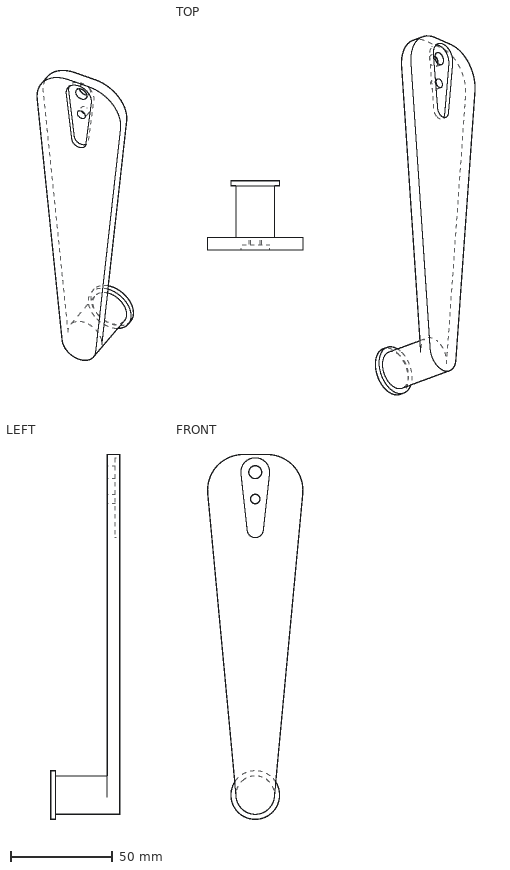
import cadquery as cq
import math


arm_thickness = 6.35
arm_width = 47.2
arm_corner_radius = 17.78

stem_diameter = 19.05
stem_length = 25.4
flange_diameter = 24.13
flange_thickness = 2.54

overall_height = 180.34
arm_top_z = overall_height - flange_diameter / 2
arm_tip_radius = stem_diameter / 2

pocket_depth = 2.54
pocket_top_radius = 7.112
pocket_bottom_radius = 4.0
pocket_length = 39.45
pocket_top_margin = 1.7
large_hole_diameter = 6.25
small_hole_diameter = 4.55
hole_spacing = 13.25

pocket_top_z = arm_top_z - pocket_top_margin
large_hole_z = pocket_top_z - pocket_top_radius
small_hole_z = large_hole_z - hole_spacing
pocket_bottom_center_z = pocket_top_z - pocket_length + pocket_bottom_radius


def front_plane(y):
    """Workplane at depth y whose local axes are X and Z and whose normal is -Y."""
    return cq.Workplane(cq.Plane(origin=(0, y, 0), xDir=(1, 0, 0), normal=(0, -1, 0)))


def cylinder(diameter, z, y_start, length):
    """Cylinder along +Y, centred on x = 0 at height z."""
    return front_plane(y_start).center(0, z).circle(diameter / 2).extrude(-length)


def tapered_plate(bottom_z, bottom_radius, top_z, top_radius, flat_half_width, thickness):
    """Plate with a round lower end, tangent straight sides and two upper corner arcs.

    The corner arc centres lie at x = +/- flat_half_width, with a flat between the arcs.
    With a zero flat_half_width the two arcs form one round upper end.
    """
    rise = top_z - bottom_z
    lean = math.atan2(flat_half_width, rise)
    flare = math.asin((top_radius - bottom_radius) / math.hypot(flat_half_width, rise))
    side_angle = lean + flare
    middle_angle = (math.pi / 2 - side_angle) / 2

    def corner_point(side, angle):
        x = flat_half_width + top_radius * math.cos(angle)
        return side * x, top_z + top_radius * math.sin(angle)

    def tip_point(side):
        x = bottom_radius * math.cos(side_angle)
        return side * x, bottom_z - bottom_radius * math.sin(side_angle)

    outline = (
        front_plane(0)
        .moveTo(*tip_point(-1))
        .threePointArc((0, bottom_z - bottom_radius), tip_point(1))
        .lineTo(*corner_point(1, -side_angle))
        .threePointArc(corner_point(1, middle_angle), (flat_half_width, top_z + top_radius))
    )
    if flat_half_width > 0:
        outline = outline.lineTo(-flat_half_width, top_z + top_radius)
    outline = outline.threePointArc(corner_point(-1, middle_angle), corner_point(-1, -side_angle))
    return outline.close().extrude(-thickness)


def make_arm():
    return tapered_plate(
        bottom_z=0,
        bottom_radius=arm_tip_radius,
        top_z=arm_top_z - arm_corner_radius,
        top_radius=arm_corner_radius,
        flat_half_width=arm_width / 2 - arm_corner_radius,
        thickness=arm_thickness,
    )


def make_handle():
    stem = cylinder(stem_diameter, 0, 0, arm_thickness + stem_length)
    flange = cylinder(flange_diameter, 0, arm_thickness + stem_length, flange_thickness)
    return stem.union(flange)


def make_pocket():
    return tapered_plate(
        bottom_z=pocket_bottom_center_z,
        bottom_radius=pocket_bottom_radius,
        top_z=large_hole_z,
        top_radius=pocket_top_radius,
        flat_half_width=0,
        thickness=pocket_depth,
    )


result = make_arm().union(make_handle()).cut(make_pocket())
for diameter, z in ((large_hole_diameter, large_hole_z), (small_hole_diameter, small_hole_z)):
    result = result.cut(cylinder(diameter, z, 0, arm_thickness))